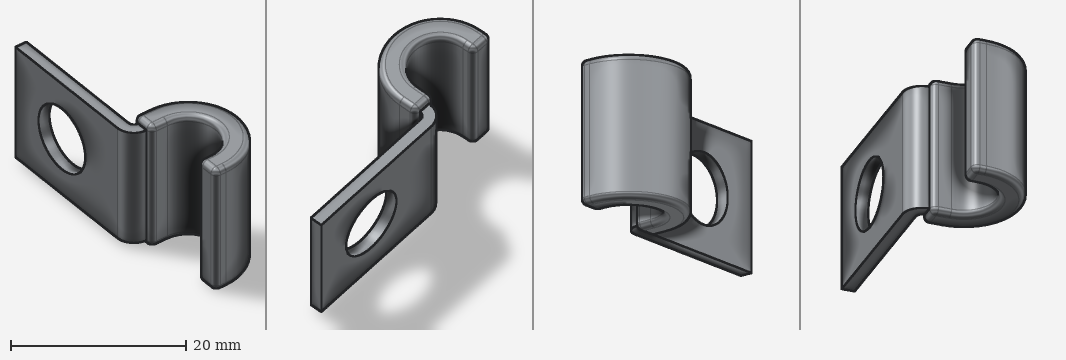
import cadquery as cq
import math


strap_thickness = 1.5875
strap_width = 15.875
overall_length = 33.2375
mounting_hole_diameter = 8.73
hole_to_hook_axis = 17.4625

cushion_wall = strap_thickness / 2
cable_radius = 3.9
hook_axis_height = 4.7625
tip_height = 3.175

bend_inner_radius = strap_thickness / 2
bend_outer_radius = bend_inner_radius + strap_thickness
cushion_width = strap_width + 2 * cushion_wall
cushion_outer_radius = cable_radius + strap_thickness + 2 * cushion_wall
cushion_fillet = cushion_wall

strap_end_x = cushion_outer_radius - overall_length
strap_front_y = -hook_axis_height
strap_back_y = strap_front_y + strap_thickness
root_y = strap_front_y + bend_outer_radius
tip_y = strap_front_y + tip_height
leg_inner_x = -(cable_radius + cushion_wall)
leg_outer_x = leg_inner_x - strap_thickness
bend_center_x = leg_outer_x - bend_inner_radius


def make_strap():
    """Flat mounting tab and the quarter bend that runs up into the cushion."""
    diagonal = math.sqrt(0.5)
    embedded_y = root_y + strap_thickness
    inner_middle = (
        bend_center_x + bend_inner_radius * diagonal,
        root_y - bend_inner_radius * diagonal,
    )
    outer_middle = (
        bend_center_x + bend_outer_radius * diagonal,
        root_y - bend_outer_radius * diagonal,
    )
    profile = (
        cq.Workplane("XY")
        .moveTo(strap_end_x, strap_front_y)
        .lineTo(bend_center_x, strap_front_y)
        .threePointArc(outer_middle, (leg_inner_x, root_y))
        .lineTo(leg_inner_x, embedded_y)
        .lineTo(leg_outer_x, embedded_y)
        .lineTo(leg_outer_x, root_y)
        .threePointArc(inner_middle, (bend_center_x, strap_back_y))
        .lineTo(strap_end_x, strap_back_y)
        .close()
    )
    return profile.extrude(strap_width / 2, both=True)


def make_cushion():
    """Half-round hook with a straight leg at each end and every outside edge rounded."""
    profile = (
        cq.Workplane("XY")
        .moveTo(-cushion_outer_radius, root_y)
        .lineTo(-cushion_outer_radius, 0)
        .threePointArc((0, cushion_outer_radius), (cushion_outer_radius, 0))
        .lineTo(cushion_outer_radius, tip_y)
        .lineTo(cable_radius, tip_y)
        .lineTo(cable_radius, 0)
        .threePointArc((0, cable_radius), (-cable_radius, 0))
        .lineTo(-cable_radius, root_y)
        .close()
    )
    body = profile.extrude(cushion_width / 2, both=True)
    leg_end_edges = body.faces("-Y").edges()
    return leg_end_edges.add(body.faces("|Z").edges()).fillet(cushion_fillet)


def make_mounting_hole():
    """Cutter for the screw hole through the tab."""
    return (
        cq.Workplane("XZ", origin=(-hole_to_hook_axis, strap_back_y, 0))
        .circle(mounting_hole_diameter / 2)
        .extrude(strap_thickness)
    )


result = make_strap().cut(make_mounting_hole()).union(make_cushion())